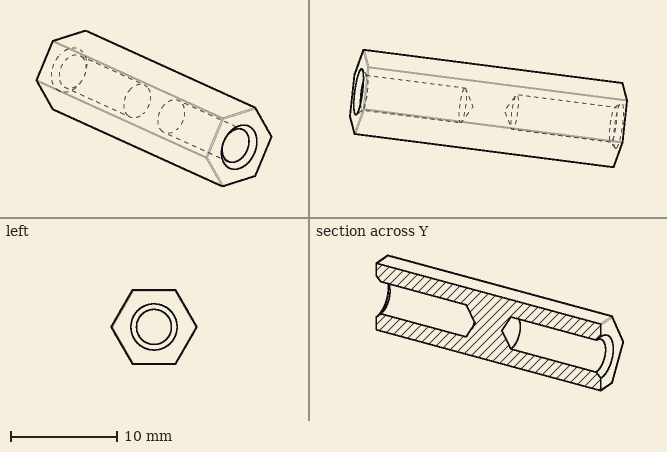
import cadquery as cq
import math

length = 25.0
across_flats = 7.0
edge_radius = 0.1

hole_diameter = 3.3
countersink_diameter = 4.35
countersink_angle = 90.0
hole_depth = 10.0
drill_tip_angle = 118.0


def cone_height(radial_change, included_angle):
    """Axial length of a cone that changes radius by radial_change."""
    return radial_change / math.tan(math.radians(included_angle / 2))


def hex_body():
    """Hexagonal bar with flats on top and bottom and every edge rounded."""
    across_corners = across_flats / math.cos(math.radians(30))
    bar = cq.Workplane("YZ").polygon(6, across_corners).extrude(length / 2, both=True)
    return bar.edges().fillet(edge_radius)


def end_hole():
    """Revolved cutter for the countersunk hole entering from the -X end."""
    hole_radius = hole_diameter / 2
    mouth_radius = countersink_diameter / 2
    countersink_depth = cone_height(mouth_radius - hole_radius, countersink_angle)
    tip_depth = hole_depth + cone_height(hole_radius, drill_tip_angle)
    mouth_x = -length / 2
    profile = [
        (mouth_x, 0),
        (mouth_x, mouth_radius),
        (mouth_x + countersink_depth, hole_radius),
        (mouth_x + hole_depth, hole_radius),
        (mouth_x + tip_depth, 0),
    ]
    return cq.Workplane("XY").polyline(profile).close().revolve(360, (0, 0, 0), (1, 0, 0))


near_hole = end_hole()
far_hole = near_hole.mirror("YZ")
result = hex_body().cut(near_hole).cut(far_hole)